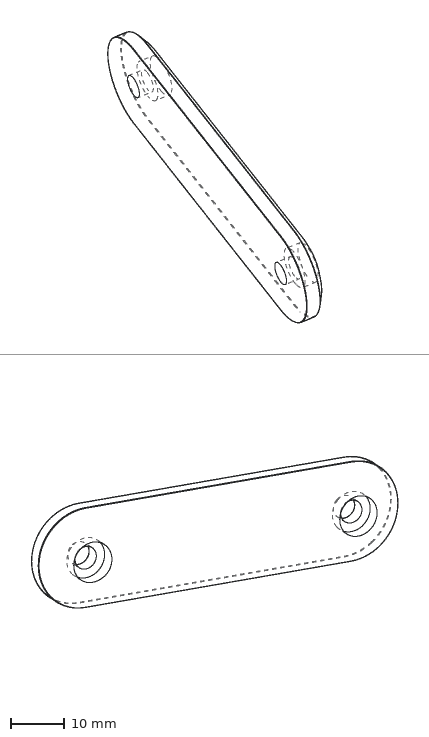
import cadquery as cq

length = 76.0
width = 19.9
thickness = 6.0
rim_height = thickness / 2
crown_flat_width = 3.95
hole_diameter = 4.5
counterbore_diameter = 8.0
counterbore_floor = rim_height
edge_chamfer = 0.1
rim_break_height = 0.15

end_radius = width / 2
hole_spacing = length - width
crown_flat_half = crown_flat_width / 2

crown_outer = end_radius - edge_chamfer
crown_run = crown_outer - crown_flat_half
crown_drop = thickness - rim_height
crown_radius = (crown_run**2 + crown_drop**2) / (2 * crown_drop)


def half_section(x):
    """Half of the cross-section at the given X, from the mid-plane out to +Z."""
    mid_z = crown_flat_half + crown_run / 2
    mid_y = thickness - crown_radius + (crown_radius**2 - (crown_run / 2) ** 2) ** 0.5
    return (
        cq.Workplane("YZ", origin=(x, 0, 0))
        .lineTo(0, end_radius - edge_chamfer)
        .lineTo(edge_chamfer, end_radius)
        .lineTo(rim_height - rim_break_height, end_radius)
        .lineTo(rim_height, crown_outer)
        .threePointArc((mid_y, mid_z), (thickness, crown_flat_half))
        .lineTo(thickness, 0)
        .close()
    )


def rounded_end(x):
    """Full turned disc whose outer half forms one end of the plate."""
    return half_section(x).revolve(360, (0, 0, 0), (1, 0, 0))


def straight_middle():
    """Prism with the crowned section, between the two end centres."""
    upper = half_section(-hole_spacing / 2).extrude(hole_spacing)
    return upper.union(upper.mirror("XY"))


def screw_hole(x):
    """Through hole with a counterbore opening on the crowned side."""
    base = cq.Workplane("XZ", origin=(x, 0, 0))
    through = base.circle(hole_diameter / 2).extrude(-thickness)
    counterbore = (
        base.workplane(offset=-counterbore_floor)
        .circle(counterbore_diameter / 2)
        .extrude(counterbore_floor - thickness)
    )
    return through.union(counterbore)


result = straight_middle()
end_centres = (-hole_spacing / 2, hole_spacing / 2)
for centre in end_centres:
    result = result.union(rounded_end(centre))
result = result.clean()
for centre in end_centres:
    result = result.cut(screw_hole(centre))